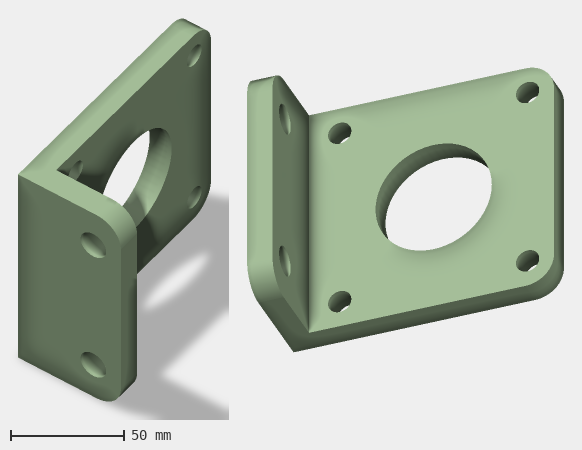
import cadquery as cq

foot_width = 56.0
plate_length = 128.0
height = 115.0
thickness = 12.0
corner_radius = 13.5

bore_diameter = 55.0
bore_y = 71.0
bolt_diameter = 11.0
bolt_spacing = 89.0

mount_diameter = 14.0
mount_x = 41.1
mount_spacing = 75.0

mid_height = height / 2


def make_plate():
    """Large plate in the YZ plane, rounded at its free end."""
    plate = cq.Workplane("XY").box(thickness, plate_length, height, centered=False)
    plate = plate.edges("|X and >Y").fillet(corner_radius)
    pattern = cq.Workplane("YZ").center(bore_y, mid_height)
    bore = pattern.circle(bore_diameter / 2).extrude(thickness)
    bolts = (
        pattern.rarray(bolt_spacing, bolt_spacing, 2, 2)
        .circle(bolt_diameter / 2)
        .extrude(thickness)
    )
    return plate.cut(bore).cut(bolts)


def make_foot():
    """Short plate in the XZ plane, rounded at its free end."""
    foot = cq.Workplane("XY").box(foot_width, thickness, height, centered=False)
    foot = foot.edges("|Y and >X").fillet(corner_radius)
    mounts = (
        cq.Workplane("XZ")
        .center(mount_x, mid_height)
        .rarray(1.3, mount_spacing, 1, 2)
        .circle(mount_diameter / 2)
        .extrude(-thickness)
    )
    return foot.cut(mounts)


result = make_plate().union(make_foot())